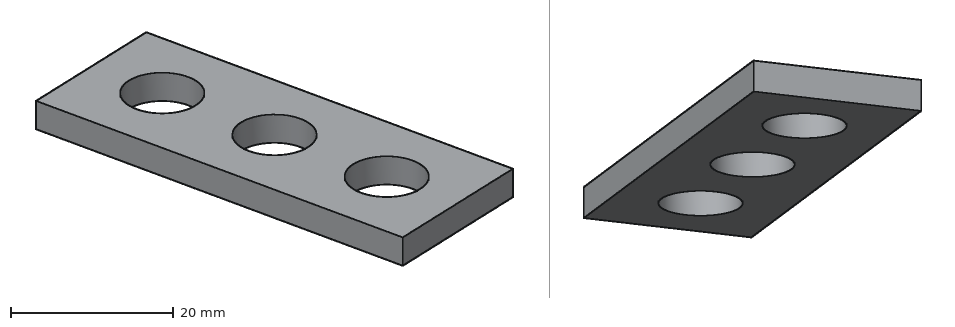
import cadquery as cq

plate_length = 57.15
plate_width = 22.25
plate_thickness = 4.0

hole_count = 3
hole_diameter = 10.4
hole_pitch = 17.5

plate = cq.Workplane("XY").box(plate_length, plate_width, plate_thickness)

result = (
    plate.faces(">Z")
    .workplane()
    .rarray(hole_pitch, plate_width, hole_count, 1)
    .hole(hole_diameter)
)